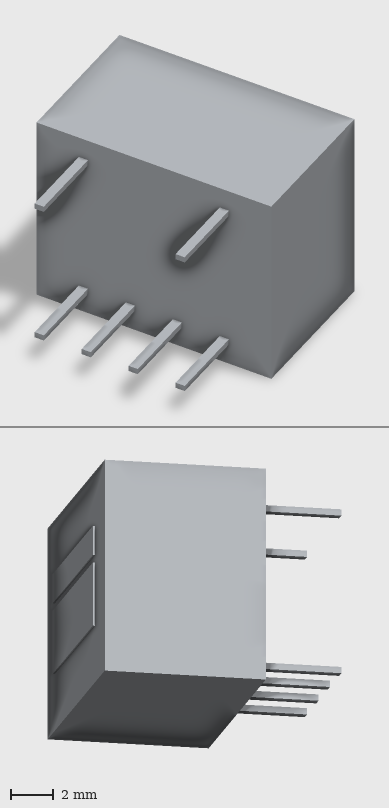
import cadquery as cq

body_width = 12.7
body_depth = 7.7
body_height = 10.2

pin_width = 0.5
pin_thickness = 0.3
pin_length = 4.1
pin_pitch = 2.54
row_spacing = 3 * pin_pitch
lower_row_columns = (-1.5, -0.5, 0.5, 1.5)
upper_row_columns = (-1.5, 1.5)

marking_relief = 0.1
marking_left = -4.17
marking_right = 4.76
upper_band_bottom = 1.05
upper_band_top = 2.46
lower_band_bottom = -2.36
lower_band_top = 0.7


def block(x_range, y_range, z_range):
    """Axis-aligned block spanning the given (low, high) ranges."""
    size = [high - low for low, high in (x_range, y_range, z_range)]
    corner = (x_range[0], y_range[0], z_range[0])
    return cq.Workplane("XY").box(*size, centered=False).translate(corner)


def pin_row(columns, z):
    """Row of pins at the given grid columns and height, standing on the pin face."""
    centres = [(column * pin_pitch, z) for column in columns]
    return cq.Workplane("XZ").pushPoints(centres).rect(pin_width, pin_thickness).extrude(pin_length)


def marking_band(bottom, top):
    """Raised band on the back face between two heights."""
    return block(
        (marking_left, marking_right),
        (body_depth, body_depth + marking_relief),
        (bottom, top),
    )


body = block(
    (-body_width / 2, body_width / 2),
    (0, body_depth),
    (-body_height / 2, body_height / 2),
)

result = (
    body
    .union(pin_row(lower_row_columns, -row_spacing / 2))
    .union(pin_row(upper_row_columns, row_spacing / 2))
    .union(marking_band(upper_band_bottom, upper_band_top))
    .union(marking_band(lower_band_bottom, lower_band_top))
)